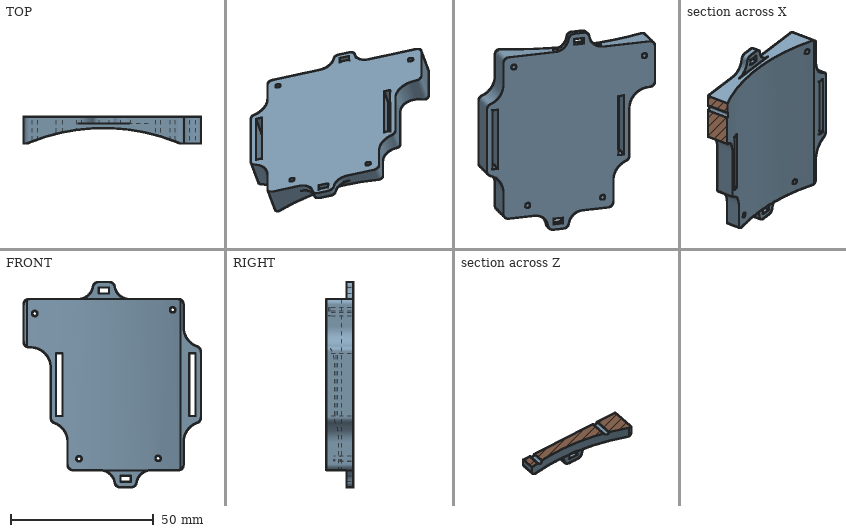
import cadquery as cq

depth = 9.5
total_height = 71.9
body_width = 56.05
end_tab_height = 6.0
body_bottom = end_tab_height
body_top = total_height - end_tab_height
mid_height = total_height / 2
corner_radius = 2.0

waist_x = 9.5
foot_x = 15.4

right_tab_height = 6.05
left_tab_height = foot_x - waist_x
strap_tab_half_width = 20.0
strap_sweep_radius = 7.0
ear_bottom = mid_height + strap_tab_half_width - strap_sweep_radius
strap_slot_width = 2.15
strap_slot_length = 21.9
strap_slot_margin = 1.95

end_tab_thickness = 2.45
end_tab_half_width = 8.85
end_sweep_radius = 5.0
top_tab_x = 28.1
bottom_tab_x = 35.7
end_slot_width = 3.5
end_slot_height = 2.0
end_slot_margin = 2.0

arch_margin = 1.15
arch_crown_thickness = 4.0

hole_diameter = 1.8
hole_centers = [(3.95, 60.8), (52.2, 62.1), (19.4, 10.0), (47.1, 10.1)]


def block(x_min, x_max, z_min, z_max, thickness=depth):
    """Rectangular block standing on the back plane."""
    return (
        cq.Workplane("XZ")
        .center((x_min + x_max) / 2, (z_min + z_max) / 2)
        .rect(x_max - x_min, z_max - z_min)
        .extrude(thickness)
    )


def flared_tab(base_x, base_z, turn, half_width, height, sweep_radius, thickness):
    """Tab with concave flanks tangent to its base; turn 0 points it to +Z, 90 to +X."""
    flank_cutters = (
        cq.Workplane("XZ")
        .pushPoints([(-half_width, sweep_radius), (half_width, sweep_radius)])
        .circle(sweep_radius)
        .extrude(thickness)
    )
    tab = block(-half_width, half_width, 0, height, thickness).cut(flank_cutters)
    tab = tab.faces(">Z").edges("|Y").fillet(corner_radius)
    return tab.rotate((0, 0, 0), (0, 1, 0), turn).translate((base_x, 0, base_z))


def upright_edge(x, z):
    """Selector for the front-to-back edge passing through (x, z)."""
    return cq.selectors.NearestToPointSelector((x, -depth / 2, z))


def make_body():
    """Full-depth plate with its upper left ear and waist."""
    corners = [
        (0, body_top),
        (body_width, body_top),
        (body_width, body_bottom),
        (foot_x, body_bottom),
        (foot_x, mid_height),
        (waist_x, mid_height),
        (waist_x, ear_bottom),
        (0, ear_bottom),
    ]
    body = cq.Workplane("XZ").polyline(corners).close().extrude(depth)
    body = body.edges(upright_edge(waist_x, ear_bottom)).fillet(strap_sweep_radius)
    outer_corners = corners[:4] + corners[-1:]
    for x, z in outer_corners:
        body = body.edges(upright_edge(x, z)).fillet(corner_radius)
    return body


def strap_tab(base_x, turn, height):
    return flared_tab(
        base_x, mid_height, turn, strap_tab_half_width, height, strap_sweep_radius, depth
    )


def end_tab(base_x, base_z, turn):
    return flared_tab(
        base_x, base_z, turn, end_tab_half_width, end_tab_height, end_sweep_radius, end_tab_thickness
    )


def arch_cutter():
    """Shallow cylindrical hollow running the full height of the front face."""
    return (
        cq.Workplane("XY")
        .moveTo(arch_margin, -depth)
        .threePointArc(
            (body_width / 2, -arch_crown_thickness),
            (body_width - arch_margin, -depth),
        )
        .close()
        .extrude(total_height)
    )


def slot_cutter(x, z, width, height):
    return block(x - width / 2, x + width / 2, z - height / 2, z + height / 2)


left_tab = strap_tab(foot_x, -90, left_tab_height).intersect(
    block(0, body_width, 0, mid_height)
)
result = (
    make_body()
    .union(left_tab)
    .union(strap_tab(body_width, 90, right_tab_height))
    .cut(arch_cutter())
    .union(end_tab(top_tab_x, body_top, 0))
    .union(end_tab(bottom_tab_x, body_bottom, 180))
)

strap_slot_inset = strap_slot_margin + strap_slot_width / 2
for slot_x in (waist_x + strap_slot_inset, body_width + right_tab_height - strap_slot_inset):
    result = result.cut(slot_cutter(slot_x, mid_height, strap_slot_width, strap_slot_length))

end_slot_inset = end_slot_margin + end_slot_height / 2
for slot_x, slot_z in (
    (top_tab_x, total_height - end_slot_inset),
    (bottom_tab_x, end_slot_inset),
):
    result = result.cut(slot_cutter(slot_x, slot_z, end_slot_width, end_slot_height))

hole_cutters = cq.Workplane("XZ").pushPoints(hole_centers).circle(hole_diameter / 2).extrude(depth)
result = result.cut(hole_cutters)